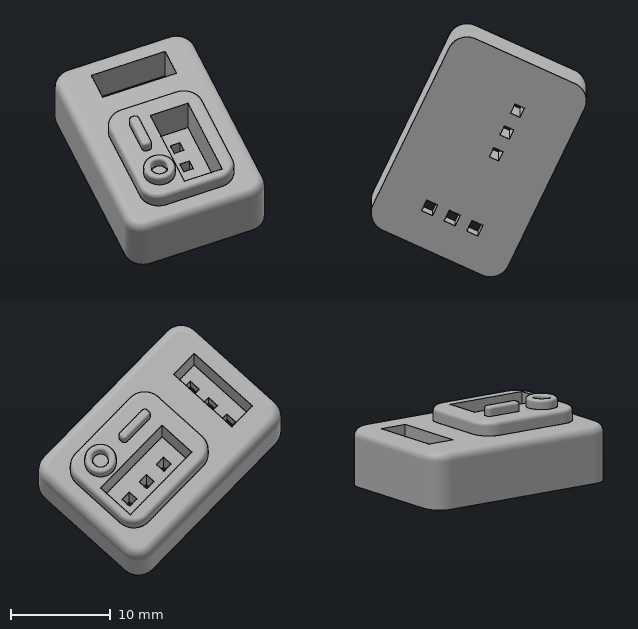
import cadquery as cq

BASE_LENGTH = 22.0
BASE_WIDTH = 15.0
BASE_HEIGHT = 6.0
CORNER_RADIUS = 2.0
BASE_TOP_FILLET = CORNER_RADIUS / 2

PLATFORM_LENGTH = 12.0
PLATFORM_WIDTH = 10.0
PLATFORM_HEIGHT = 1.5
PLATFORM_LEFT = BASE_LENGTH - CORNER_RADIUS - PLATFORM_LENGTH
PLATFORM_FRONT = (BASE_WIDTH - PLATFORM_WIDTH) / 2
PLATFORM_FILLET = BASE_TOP_FILLET / 2
PLATFORM_TOP = BASE_HEIGHT + PLATFORM_HEIGHT

KNOB_HEIGHT = 1.0
KNOB_FILLET = 0.3
BAR_LEFT = PLATFORM_LEFT + CORNER_RADIUS
BAR_LENGTH = 4.0
BAR_WIDTH = 1.01
BAR_CORNER_RADIUS = 0.4
KNOB_CENTER_Y = 5.0
RING_CENTER_X = 17.0
RING_DIAMETER = 3.2
RING_HOLE_DIAMETER = 1.6

PIN_COUNT = 3
PIN_PITCH = 2.5

SIDE_POCKET_LENGTH = 3.0
SIDE_POCKET_WIDTH = 8.0
SIDE_POCKET_DEPTH = 4.0
SIDE_POCKET_LEFT = CORNER_RADIUS
SIDE_POCKET_CENTER_Y = 7.79
SIDE_PIN_SIZE = 1.2
SIDE_PIN_CENTER_X = 4.11

TOP_POCKET_LENGTH = 9.0
TOP_POCKET_WIDTH = 4.1
TOP_POCKET_DEPTH = 4.0
TOP_POCKET_LEFT = BAR_LEFT
TOP_POCKET_CENTER_Y = 8.93
TOP_PIN_SIZE = 1.03
TOP_PIN_CENTER_X = 14.5
TOP_PIN_CENTER_Y = 8.98


def block(left, front, bottom, length, width, height):
    """Box placed by its left, front, bottom corner."""
    return cq.Workplane("XY").box(length, width, height, centered=False).translate((left, front, bottom))


def rounded_block(left, front, bottom, length, width, height, corner_radius, top_fillet):
    """Box with rounded upright corners and a rounded top rim."""
    body = block(left, front, bottom, length, width, height)
    return body.edges("|Z").fillet(corner_radius).faces(">Z").edges().fillet(top_fillet)


def pocket(left, center_y, top, length, width, depth):
    """Rectangular pocket, open at the given top level."""
    return block(left, center_y - width / 2, top - depth, length, width, depth)


def pin_row(center_x, center_y, size, step_x, step_y):
    """Row of square pin holes through the full height, centred on the given point."""
    middle = (PIN_COUNT - 1) / 2
    centers = [
        (center_x + (i - middle) * step_x, center_y + (i - middle) * step_y)
        for i in range(PIN_COUNT)
    ]
    return cq.Workplane("XY").pushPoints(centers).rect(size, size).extrude(PLATFORM_TOP)


def ring():
    """Round knob with a central hole and both top rims rounded."""
    return (
        cq.Workplane("XY", origin=(RING_CENTER_X, KNOB_CENTER_Y, PLATFORM_TOP))
        .circle(RING_DIAMETER / 2)
        .circle(RING_HOLE_DIAMETER / 2)
        .extrude(KNOB_HEIGHT)
        .faces(">Z")
        .edges()
        .fillet(KNOB_FILLET)
    )


base = rounded_block(
    0, 0, 0, BASE_LENGTH, BASE_WIDTH, BASE_HEIGHT, CORNER_RADIUS, BASE_TOP_FILLET
)
platform = rounded_block(
    PLATFORM_LEFT, PLATFORM_FRONT, BASE_HEIGHT,
    PLATFORM_LENGTH, PLATFORM_WIDTH, PLATFORM_HEIGHT, CORNER_RADIUS, PLATFORM_FILLET,
)
bar = rounded_block(
    BAR_LEFT, KNOB_CENTER_Y - BAR_WIDTH / 2, PLATFORM_TOP,
    BAR_LENGTH, BAR_WIDTH, KNOB_HEIGHT, BAR_CORNER_RADIUS, KNOB_FILLET,
)

side_pocket = pocket(
    SIDE_POCKET_LEFT, SIDE_POCKET_CENTER_Y, BASE_HEIGHT,
    SIDE_POCKET_LENGTH, SIDE_POCKET_WIDTH, SIDE_POCKET_DEPTH,
)
top_pocket = pocket(
    TOP_POCKET_LEFT, TOP_POCKET_CENTER_Y, PLATFORM_TOP,
    TOP_POCKET_LENGTH, TOP_POCKET_WIDTH, TOP_POCKET_DEPTH,
)
side_pins = pin_row(SIDE_PIN_CENTER_X, SIDE_POCKET_CENTER_Y, SIDE_PIN_SIZE, 0, PIN_PITCH)
top_pins = pin_row(TOP_PIN_CENTER_X, TOP_PIN_CENTER_Y, TOP_PIN_SIZE, PIN_PITCH, 0)

result = base.union(platform).union(bar).union(ring())
for cut in (side_pocket, top_pocket, side_pins, top_pins):
    result = result.cut(cut)